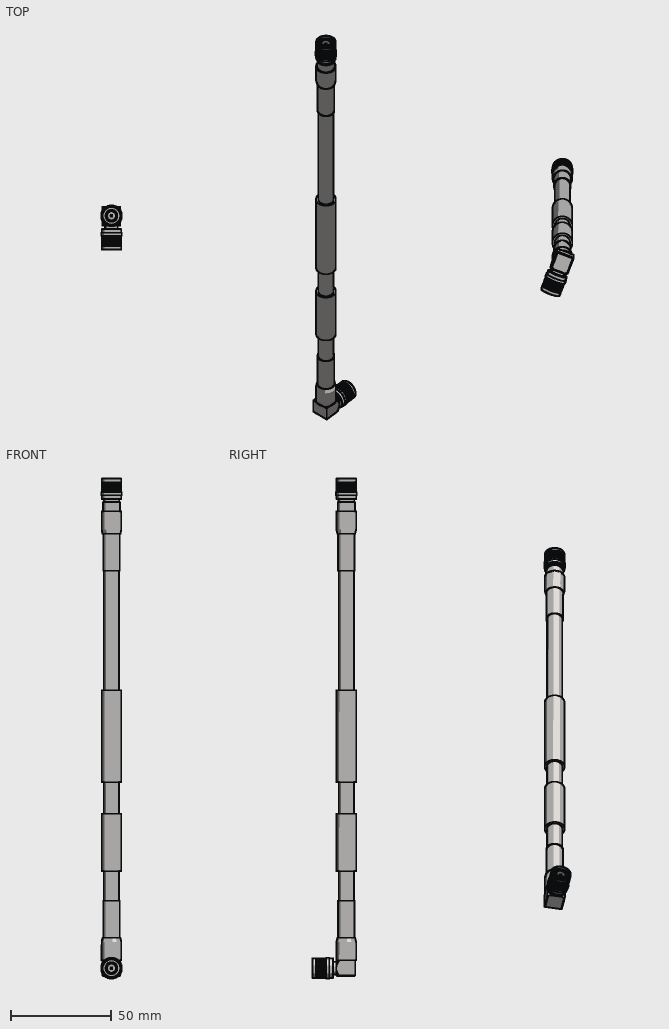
import cadquery as cq


total_height = 250.0
band_radius = 5.2
elbow_axis_z = band_radius
elbow_reach = 17.0

cable_radius = 7.7 / 2
sleeve_radius = 5.0
sleeve_spans = [(98.2, 144.2), (53.7, 82.5)]

boot_radius = 5.0
boot_tail_radius = 8.5 / 2
boot_body_length = 9.0
boot_taper_length = 2.2
boot_taper_radius = 4.5
boot_tail_length = 18.5
boot_length = boot_body_length + boot_taper_length + boot_tail_length
socket_depth = boot_tail_length + boot_taper_length

nut_length = 10.5
nut_radius = 5.0
nut_back_bevel = 0.2
band_bottom = 2.0
band_height = 1.5
groove_count = 4
groove_pitch = 1.2
groove_width = 0.62
groove_depth = 0.2
first_groove = 4.2

rim_bevel = 0.2
bore_radius = 8.7 / 2
bore_depth = 3.7
contact_ring_outer = 3.0
contact_ring_inner = 2.2
contact_ring_setback = 0.7
pin_radius = 0.5
pin_setback = 1.2

straight_neck_radius = 8.7 / 2
straight_neck_length = 5.0
straight_neck_bevel = 0.5
link_radius = 4.0
straight_boot_top = 233.5
elbow_boot_bottom = 9.2
block_half_width = 4.5
block_front = 5.0
block_bottom_bevel = 0.5
turned_corner_angle = 45
elbow_neck_radius = 3.2


def cylinder(radius, bottom, top):
    return cq.Workplane("XY").workplane(offset=bottom).circle(radius).extrude(top - bottom)


def tube(outer_radius, inner_radius, bottom, top):
    return cylinder(outer_radius, bottom, top).cut(cylinder(inner_radius, bottom, top))


def make_coupling():
    """Coupling nut with its back end at the origin and its mating face toward +Z."""
    nut = cylinder(nut_radius, 0, nut_length).faces(">Z").chamfer(rim_bevel)
    nut = nut.faces("<Z").chamfer(nut_back_bevel)
    nut = nut.union(cylinder(band_radius, band_bottom, band_bottom + band_height))

    for index in range(groove_count):
        bottom = first_groove + index * groove_pitch
        nut = nut.cut(tube(band_radius, nut_radius - groove_depth, bottom, bottom + groove_width))

    bore_floor = nut_length - bore_depth
    ring_top = nut_length - contact_ring_setback
    nut = nut.cut(cylinder(bore_radius, bore_floor, nut_length))
    nut = nut.union(tube(contact_ring_outer, contact_ring_inner, bore_floor, ring_top))
    return nut.union(cylinder(pin_radius, bore_floor, nut_length - pin_setback))


def make_boot():
    """Strain relief boot, wide end at the origin, narrowing toward +Z, bored for the cable."""
    tail_start = boot_body_length + boot_taper_length
    boot = (
        cq.Workplane("XZ")
        .moveTo(0, 0)
        .lineTo(boot_radius, 0)
        .lineTo(boot_radius, boot_body_length)
        .lineTo(boot_taper_radius, tail_start)
        .lineTo(boot_tail_radius, tail_start)
        .lineTo(boot_tail_radius, boot_length)
        .lineTo(0, boot_length)
        .close()
        .revolve(360, (0, 0, 0), (0, 1, 0))
    )
    return boot.cut(cylinder(cable_radius, boot_length - socket_depth, boot_length))


def make_straight_connector():
    nut_bottom = total_height - nut_length
    boot = make_boot().rotate((0, 0, 0), (1, 0, 0), 180).translate((0, 0, straight_boot_top))
    neck_top = straight_boot_top + straight_neck_length
    neck = cylinder(straight_neck_radius, straight_boot_top, neck_top)
    neck = neck.faces(">Z").chamfer(straight_neck_bevel)
    link = cylinder(link_radius, straight_boot_top, nut_bottom)
    coupling = make_coupling().translate((0, 0, nut_bottom))
    return boot.union(neck).union(link).union(coupling)


def make_elbow_block():
    """Square block that turns the connector to -Y, its front corners turned off at 45 degrees."""
    block_bottom = 2 * elbow_axis_z - elbow_boot_bottom
    block_length = block_half_width + block_front
    block = (
        cq.Workplane("XY")
        .box(2 * block_half_width, block_length, elbow_boot_bottom - block_bottom)
        .translate((0, (block_half_width - block_front) / 2, elbow_axis_z))
        .faces("<Z")
        .chamfer(block_bottom_bevel)
    )
    turned_envelope = (
        cq.Workplane("XZ", origin=(0, -block_front, elbow_axis_z))
        .circle(block_half_width)
        .extrude(-block_length, taper=-turned_corner_angle)
    )
    return block.intersect(turned_envelope)


def make_right_angle_connector():
    nut_back = elbow_reach - nut_length
    neck = cylinder(elbow_neck_radius, block_front, nut_back)
    mating_end = make_coupling().translate((0, 0, nut_back)).union(neck)
    mating_end = mating_end.rotate((0, 0, 0), (1, 0, 0), 90).translate((0, 0, elbow_axis_z))
    boot = make_boot().translate((0, 0, elbow_boot_bottom))
    return make_elbow_block().union(boot).union(mating_end)


def make_cable():
    bottom = elbow_boot_bottom + boot_length - socket_depth
    top = straight_boot_top - boot_length + socket_depth
    return cylinder(cable_radius, bottom, top)


def make_sleeve(bottom, top):
    return tube(sleeve_radius, cable_radius, bottom, top)


cable = make_cable()
sleeves = [make_sleeve(bottom, top) for bottom, top in sleeve_spans]
straight_connector = make_straight_connector()
right_angle_connector = make_right_angle_connector()

result = cq.Compound.makeCompound([
    cable.val(),
    *[sleeve.val() for sleeve in sleeves],
    straight_connector.val(),
    right_angle_connector.val(),
])